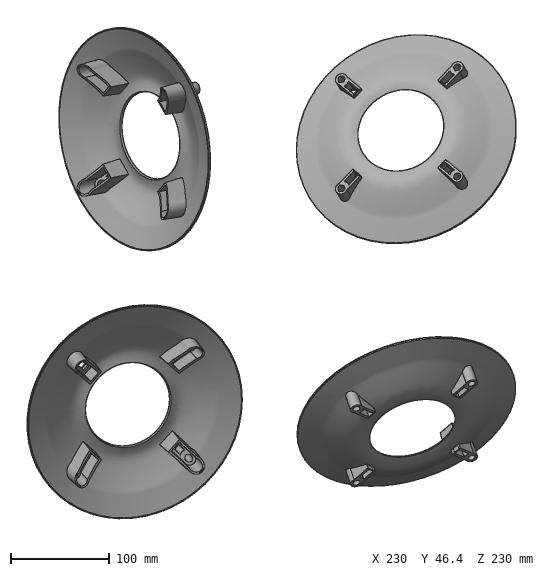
import cadquery as cq
import math

rim_radius = 115.0
rim_front = 0.5
rim_back = 2.8
wall = 2.5
throat_radius = 44.8
crest_radius = 55.7
crest_back = 26.7
crest_arc = 26.5
flank_angle = math.radians(29.0)
cone_angle = math.radians(21.3)
throat_angle = math.asin((throat_radius - crest_radius) / crest_arc)
cone_start = 88.5

arm_count = 4
first_arm_angle = 45.0
hole_place = 85.8
hole_diameter = 7.4

pad_inner = 58.0
pad_half_width = 9.7
pad_end_radius = 10.4
pad_draft = 2.5
pad_front_shift = 25.3
pad_reach = 15.6

pocket_inner = 61.0
pocket_half_width = 6.0
pocket_end_radius = 6.7
pocket_floor_depth = 4.4

leg_inner = 63.0
leg_half_width = 5.8
leg_end_radius = 6.2
leg_back = 30.8
leg_front = 10.5

window_half_width = 3.2
window_near = 8.3
window_far = 21.8


def crest_point(angle, depth):
    """Point of the crest arc at a tangent angle, depth inside the back surface."""
    radius = crest_arc - depth
    return (crest_radius + radius * math.sin(angle), crest_back - crest_arc + radius * math.cos(angle))


def cone_height(radius, depth):
    """Y of the conical part at a radius, depth inside the back surface."""
    return rim_back + (rim_radius - radius) * math.tan(cone_angle) - depth / math.cos(cone_angle)


def dish_profile(depth):
    """Smooth profile from throat to rim, running depth inside the back surface."""
    waypoints = [
        crest_point(throat_angle, depth),
        crest_point(0, depth),
        crest_point(flank_angle, depth),
        (cone_start, cone_height(cone_start, depth)),
        (rim_radius, cone_height(rim_radius, depth)),
    ]
    end_directions = [
        (math.cos(throat_angle), -math.sin(throat_angle)),
        (math.cos(cone_angle), -math.sin(cone_angle)),
    ]
    return cq.Workplane("XY").moveTo(*waypoints[0]).spline(waypoints[1:], end_directions, includeCurrent=True)


def revolved(profile):
    return profile.close().revolve(360, (0, 0, 0), (0, 1, 0))


def dish_envelope():
    """Everything on the -Y side of the back surface, between throat and rim."""
    return revolved(
        dish_profile(0)
        .lineTo(rim_radius, -pad_reach)
        .lineTo(throat_radius, -pad_reach)
    )


def space_in_front(depth):
    """Everything on the -Y side of a surface lying depth inside the back surface."""
    far_y = -pad_reach - wall
    return revolved(
        dish_profile(depth)
        .lineTo(rim_radius + wall, cone_height(rim_radius + wall, depth))
        .lineTo(rim_radius + wall, far_y)
        .lineTo(throat_radius - wall, far_y)
        .lineTo(*crest_point(throat_angle, 0))
    )


def dish(envelope):
    """Shell of even thickness whose rim is trimmed flat at the front."""
    shell = envelope.cut(space_in_front(wall))
    rim_plane = cq.Workplane("XZ", origin=(0, rim_front, 0))
    in_front_of_rim = rim_plane.circle(rim_radius + wall).extrude(pad_reach + wall)
    return shell.cut(in_front_of_rim)


def arm_outline(plane_y, inner, half_width, end_radius):
    """Outline square at the inner end and rounded about the hole at the outer end."""
    flank_end = hole_place - math.sqrt(end_radius**2 - half_width**2)
    return (
        cq.Workplane("XZ", origin=(0, plane_y, 0))
        .moveTo(inner, -half_width)
        .lineTo(flank_end, -half_width)
        .threePointArc((hole_place + end_radius, 0), (flank_end, half_width))
        .lineTo(inner, half_width)
        .close()
    )


def pad():
    """Drafted pad with a face that follows the crest and flank of the dish."""
    blank = arm_outline(crest_back, pad_inner, pad_half_width, pad_end_radius).extrude(
        crest_back + pad_reach, taper=pad_draft
    )
    flank_x, flank_y = crest_point(flank_angle, 0)
    tip_x = hole_place + 2 * pad_end_radius
    tip_y = flank_y - (tip_x - flank_x) * math.tan(flank_angle)
    face_fill = (
        cq.Workplane("XY")
        .moveTo(crest_radius, crest_back)
        .threePointArc(crest_point(flank_angle / 2, 0), (flank_x, flank_y))
        .lineTo(tip_x, tip_y)
        .lineTo(tip_x, crest_back + pad_front_shift)
        .lineTo(crest_radius, crest_back + pad_front_shift)
        .close()
        .extrude(2 * pad_half_width, both=True)
        .translate((0, -pad_front_shift, 0))
    )
    return blank.intersect(face_fill).intersect(space_in_front(wall / 2))


def leg():
    outline = arm_outline(leg_back, leg_inner, leg_half_width, leg_end_radius)
    return outline.extrude(leg_back - leg_front)


def pocket():
    """Pocket whose floor runs parallel to the dish."""
    outline = arm_outline(crest_back, pocket_inner, pocket_half_width, pocket_end_radius)
    return outline.extrude(crest_back + pad_reach).intersect(space_in_front(pocket_floor_depth))


def through_cuts():
    """Screw hole and window, running through the whole arm."""
    depth = leg_back + pad_reach
    sketch = cq.Workplane("XZ", origin=(0, leg_back, 0))
    hole = sketch.center(hole_place, 0).circle(hole_diameter / 2).extrude(depth)
    near_corner = hole_place - math.sqrt(window_near**2 - window_half_width**2)
    far_corner = hole_place - math.sqrt(window_far**2 - window_half_width**2)
    window = (
        sketch.moveTo(near_corner, -window_half_width)
        .threePointArc((hole_place - window_near, 0), (near_corner, window_half_width))
        .lineTo(far_corner, window_half_width)
        .threePointArc((hole_place - window_far, 0), (far_corner, -window_half_width))
        .close()
        .extrude(depth)
    )
    return hole.union(window)


def around_axis(shape, index):
    angle = first_arm_angle + index * 360 / arm_count
    return shape.rotate((0, 0, 0), (0, 1, 0), angle)


envelope = dish_envelope()
arm = pad().union(leg())
arm_cuts = pocket().union(through_cuts())

result = dish(envelope)
for index in range(arm_count):
    result = result.union(around_axis(arm, index))
for index in range(arm_count):
    result = result.cut(around_axis(arm_cuts, index))